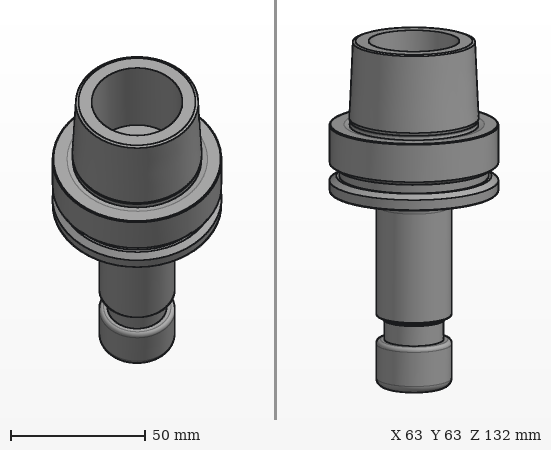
import cadquery as cq

total_length = 132.0
flange_top = 100.2
flange_bottom = 74.5
shank_bottom = 27.0
collar_top = 17.8

flange_diameter = 63.0
flange_radius = flange_diameter / 2
shank_radius = 14.1
neck_radius = 11.1

taper_top_radius = 22.8
taper_base_radius = 24.2
taper_base = 102.5
taper_chamfer_width = 1.0
taper_chamfer_height = 0.4
bore_radius = 16.9
bore_depth = total_length - flange_top

relief_radius = 23.8
relief_outer_radius = 26.1
relief_top = 101.4
relief_bottom = 101.0
relief_foot_radius = 24.0
relief_depth = 0.4

groove_radius = 27.9
groove_upper_edge = 85.5
groove_lower_edge = 78.7
groove_bevel_height = 1.7
groove_bevel_radius = 28.9
flange_edge_chamfer = 0.4

shank_fillet = 5.3
shank_edge_chamfer = 0.4
neck_step_radius = 11.5
neck_step_top = 26.1
neck_step_bottom = 25.5
neck_cone_radius = 12.1
collar_top_fillet = 1.6
collar_bottom_fillet = 3.2


def turned_body():
    """Revolve the outer half-section about the Z axis."""
    section = (
        cq.Workplane("XZ")
        .lineTo(shank_radius, 0)
        .lineTo(shank_radius, collar_top)
        .lineTo(neck_radius, collar_top)
        .lineTo(neck_radius, neck_step_bottom)
        .lineTo(neck_step_radius, neck_step_bottom)
        .lineTo(neck_step_radius, neck_step_top)
        .lineTo(neck_cone_radius, shank_bottom)
        .lineTo(shank_radius - shank_edge_chamfer, shank_bottom)
        .lineTo(shank_radius, shank_bottom + shank_edge_chamfer)
        .lineTo(shank_radius, flange_bottom)
        .lineTo(flange_radius - flange_edge_chamfer, flange_bottom)
        .lineTo(flange_radius, flange_bottom + flange_edge_chamfer)
        .lineTo(flange_radius, groove_lower_edge)
        .lineTo(groove_bevel_radius, groove_lower_edge + groove_bevel_height)
        .lineTo(groove_radius, groove_lower_edge + groove_bevel_height)
        .lineTo(groove_radius, groove_upper_edge - groove_bevel_height)
        .lineTo(groove_bevel_radius, groove_upper_edge - groove_bevel_height)
        .lineTo(flange_radius, groove_upper_edge)
        .lineTo(flange_radius, flange_top - flange_edge_chamfer)
        .lineTo(flange_radius - flange_edge_chamfer, flange_top)
        .lineTo(relief_outer_radius, flange_top)
        .lineTo(relief_foot_radius, flange_top - relief_depth)
        .lineTo(relief_radius, relief_bottom)
        .lineTo(relief_radius, relief_top)
        .lineTo(taper_base_radius, taper_base)
        .lineTo(taper_top_radius, total_length - taper_chamfer_height)
        .lineTo(taper_top_radius - taper_chamfer_width, total_length)
        .lineTo(0, total_length)
        .close()
    )
    return section.revolve(360, (0, 0, 0), (0, 1, 0))


def round_circle(body, radius, height, fillet):
    """Fillet the circular edge of the given radius at the given height."""
    margin = 0.1
    reach = radius + margin
    lower = (-reach, -reach, height - margin)
    upper = (reach, reach, height + margin)
    edge = body.edges(cq.selectors.BoxSelector(lower, upper, boundingbox=True))
    return edge.edges(cq.selectors.RadiusNthSelector(-1)).fillet(fillet)


result = turned_body()
result = round_circle(result, shank_radius, flange_bottom, shank_fillet)
result = round_circle(result, shank_radius, collar_top, collar_top_fillet)
result = round_circle(result, shank_radius, 0, collar_bottom_fillet)

result = result.faces(">Z").workplane().circle(bore_radius).cutBlind(-bore_depth)